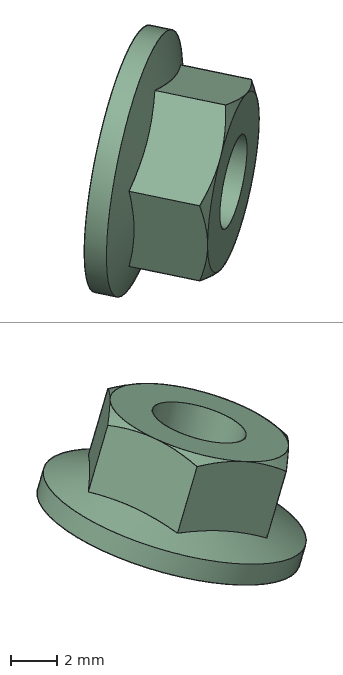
import cadquery as cq
import math

flange_diameter = 11.8
rim_thickness = 1.0
total_height = 5.0
across_flats = 8.0
bore_diameter = 4.2
flange_slope = 20.0
chamfer_slope = 30.0

flange_radius = flange_diameter / 2
flat_radius = across_flats / 2
corner_radius = flat_radius / math.cos(math.radians(30))


def revolve_about_x(points):
    """Revolve a closed (x, radius) outline about the X axis."""
    return cq.Workplane("XY").polyline(points).close().revolve(360, (0, 0), (1, 0))


def make_flange():
    """Disc with a straight rim and a conical top that runs in under the hexagon."""
    cone_rise = (flange_radius - flat_radius) * math.tan(math.radians(flange_slope))
    cone_top = rim_thickness + cone_rise
    return revolve_about_x([
        (0, 0),
        (0, flange_radius),
        (rim_thickness, flange_radius),
        (cone_top, flat_radius),
        (cone_top, 0),
    ])


def make_hexagon():
    """Hexagon with corners on +Z and -Z, its outer end chamfered by a cone."""
    corners = []
    for index in range(6):
        angle = math.radians(90 + 60 * index)
        corners.append((corner_radius * math.cos(angle), corner_radius * math.sin(angle)))
    prism = cq.Workplane("YZ").polyline(corners).close().extrude(total_height)

    chamfer_drop = (flange_radius - flat_radius) * math.tan(math.radians(chamfer_slope))
    envelope = revolve_about_x([
        (0, 0),
        (0, flange_radius),
        (total_height - chamfer_drop, flange_radius),
        (total_height, flat_radius),
        (total_height, 0),
    ])
    return prism.intersect(envelope)


bore = cq.Workplane("YZ").circle(bore_diameter / 2).extrude(total_height)
result = make_flange().union(make_hexagon()).cut(bore)